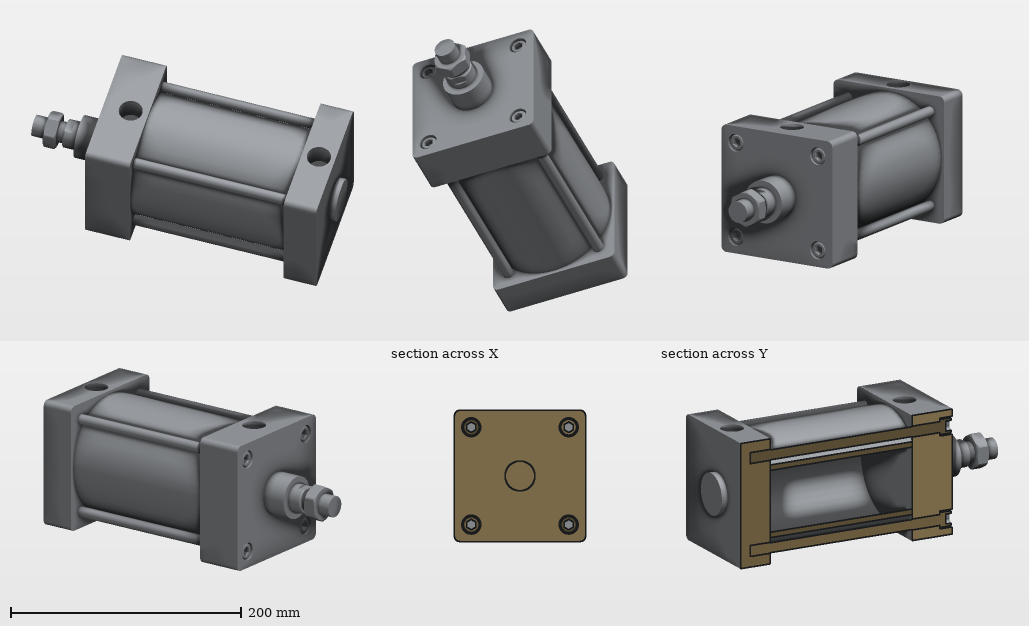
import cadquery as cq
import math

total_length = 278.2

cap_side = 114.3
cap_corner_radius = 5.0
front_cap_length = 40.3
rear_cap_length = 29.5
boss_diameter = 38.0
boss_start = 41.2
front_boss_length = 21.7
rear_boss_length = 5.8

port_diameter = 19.0
port_mouth_diameter = 21.0
port_depth = 19.5
front_port_setback = 15.9
rear_port_setback = 15.0

barrel_outer_diameter = 108.0
barrel_inner_diameter = 101.5

thread_diameter = 19.0
thread_length = 28.7
rod_diameter = 25.3
rod_chamfer = 0.8
flat_spacing = 22.0
flat_length = 6.7

nut_start = 11.7
nut_length = 11.0
nut_across_flats = 28.7
nut_corner_diameter = 32.3
nut_chamfer_length = 1.0
nut_chamfer_radial = 1.7

tie_spacing = 84.5
tie_diameter = 9.5
tie_head_diameter = 14.2
tie_head_length = 11.0
tie_head_chamfer = 1.0
tie_head_recess = 1.0
tie_counterbore_diameter = 15.9
socket_across_flats = 7.5
socket_depth = 5.5
tie_engagement = 19.5

rear_cap_end = total_length - rear_boss_length
rear_cap_start = rear_cap_end - rear_cap_length
front_cap_start = boss_start + front_boss_length
front_cap_end = front_cap_start + front_cap_length
tie_head_start = front_cap_start + tie_head_recess
tie_head_end = tie_head_start + tie_head_length
tie_offset = tie_spacing / 2
tie_end = rear_cap_start + tie_engagement
tie_centres = [(y, z) for y in (-tie_offset, tie_offset) for z in (-tie_offset, tie_offset)]


def cylinder(diameter, start, end, y=0.0, z=0.0):
    """Cylinder parallel to X between two X positions."""
    return cq.Workplane("YZ", origin=(start, y, z)).circle(diameter / 2).extrude(end - start)


def hexagon(across_flats, start, end, y=0.0, z=0.0):
    """Hexagonal prism along X, with two flats facing -Y and +Y."""
    across_corners = across_flats / math.cos(math.pi / 6)
    prism = cq.Workplane("YZ", origin=(start, y, z)).polygon(6, across_corners).extrude(end - start)
    return prism.rotate((0, y, z), (1, y, z), 90)


def cap_block(start, end):
    """Square end block with rounded long edges."""
    block = cq.Workplane("YZ", origin=(start, 0, 0)).rect(cap_side, cap_side).extrude(end - start)
    return block.edges("|X").fillet(cap_corner_radius)


def port(x):
    """Blind port going down from the top face, tapering to its floor."""
    return (
        cq.Workplane("XY", origin=(x, 0, cap_side / 2))
        .circle(port_mouth_diameter / 2)
        .workplane(offset=-port_depth)
        .circle(port_diameter / 2)
        .loft()
    )


def make_front_cap():
    cap = cap_block(front_cap_start, front_cap_end)
    cap = cap.union(cylinder(boss_diameter, boss_start, front_cap_start))
    cap = cap.cut(cylinder(rod_diameter, boss_start, front_cap_end))
    cap = cap.cut(port(front_cap_end - front_port_setback))
    for y, z in tie_centres:
        cap = cap.cut(cylinder(tie_counterbore_diameter, front_cap_start, tie_head_end, y, z))
        cap = cap.cut(cylinder(tie_diameter, tie_head_end, front_cap_end, y, z))
    return cap


def make_rear_cap():
    cap = cap_block(rear_cap_start, rear_cap_end)
    cap = cap.union(cylinder(boss_diameter, rear_cap_end, total_length))
    cap = cap.cut(port(rear_cap_start + rear_port_setback))
    for y, z in tie_centres:
        cap = cap.cut(cylinder(tie_diameter, rear_cap_start, tie_end, y, z))
    return cap


def make_barrel():
    outer = cylinder(barrel_outer_diameter, front_cap_end, rear_cap_start)
    return outer.cut(cylinder(barrel_inner_diameter, front_cap_end, rear_cap_start))


def make_piston_rod():
    """Rod with a threaded nose, a chamfered shoulder and two wrench flats."""
    rod = cylinder(rod_diameter, thread_length, front_cap_end).faces("<X").chamfer(rod_chamfer)
    flat_depth = (rod_diameter - flat_spacing) / 2
    for side in (-1, 1):
        slab = cq.Workplane("XY").box(flat_length, rod_diameter, flat_depth, centered=(False, True, True))
        rod = rod.cut(slab.translate((thread_length, 0, side * (flat_spacing + flat_depth) / 2)))
    return rod.union(cylinder(thread_diameter, 0, thread_length))


def make_lock_nut():
    nut_end = nut_start + nut_length
    envelope = cylinder(nut_corner_diameter, nut_start, nut_end)
    envelope = envelope.faces("<X or >X").chamfer(nut_chamfer_length, nut_chamfer_radial)
    nut = hexagon(nut_across_flats, nut_start, nut_end).intersect(envelope)
    return nut.cut(cylinder(thread_diameter, nut_start, nut_end))


def make_tie_rod(y, z):
    """Long cap screw: chamfered head with a hexagonal socket, plain shank."""
    head = cylinder(tie_head_diameter, tie_head_start, tie_head_end, y, z)
    head = head.faces("<X").chamfer(tie_head_chamfer)
    head = head.cut(hexagon(socket_across_flats, tie_head_start, tie_head_start + socket_depth, y, z))
    return head.union(cylinder(tie_diameter, tie_head_end, tie_end, y, z))


front_cap = make_front_cap()
rear_cap = make_rear_cap()
barrel = make_barrel()
piston_rod = make_piston_rod()
lock_nut = make_lock_nut()
tie_rods = [make_tie_rod(y, z) for y, z in tie_centres]

result = cq.Compound.makeCompound(
    [
        front_cap.val(),
        rear_cap.val(),
        barrel.val(),
        piston_rod.val(),
        lock_nut.val(),
        *[tie_rod.val() for tie_rod in tie_rods],
    ]
)